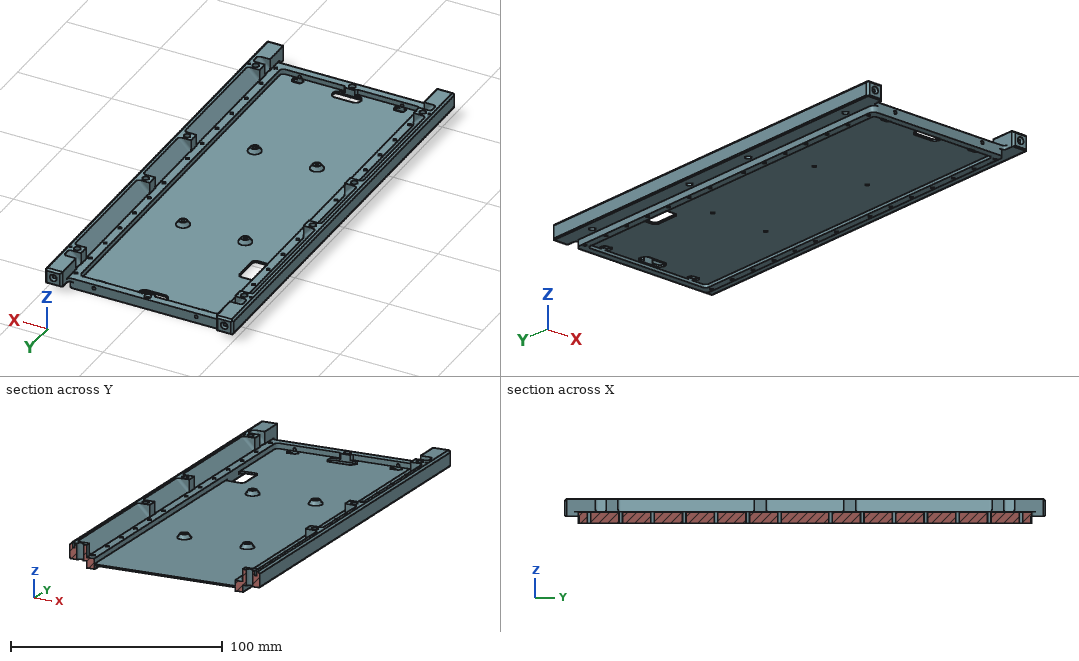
import cadquery as cq
import math

overall_width = 100.0
overall_length = 227.0
overall_height = 11.5

rail_width = 9.0
rail_height = 8.2
rail_top_chamfer = 1.02
rail_bottom_chamfer = 0.57
rail_end_chamfer = 1.02
rail_outer_x = overall_width / 2
rail_inner_x = rail_outer_x - rail_width
rail_bottom_z = overall_height - rail_height

tray_width = 82.2
tray_length = 214.0
tray_height = 5.5
tray_corner_radius = 3.0
web_fillet_radius = 1.5
wall = 4.0
floor_depth = 2.7
floor_thickness = 1.02
floor_corner_radius = 2.0
floor_z = tray_height - floor_depth
floor_end_y = tray_length / 2 - wall
floor_side_x = tray_width / 2 - wall

recess_top_x = 47.5
recess_end_fillet = 1.4
recess_outer_end_y = 99.0
pad_ys = (21.0, 91.0)
pad_width = 5.5
pad_hole_x = 44.5
pad_hole_diameter = 3.2
pin_hole_x = 48.0
pin_hole_diameter = 1.0
pin_hole_depth = 2.3

bore_diameter = 1.5
bore_sink_diameter = 3.6
bore_depth = 6.8

row_x = 39.5
row_diameter = 1.5
row_first_y = 12.0
row_pitch = 15.0
row_count = 7

end_slot_length = 15.0
end_slot_width = 6.0
end_slot_y = 98.7
end_slot_radius = 2.7
corner_slot_x = 27.2
corner_slot_length = 5.7
corner_slot_width = 4.0
corner_slot_radius = 1.5
window_width = 9.5
window_length = 16.1
window_y = 57.0
window_radius = 2.0

lug_width = 5.2
lug_flare = 1.0
lug_hole_y = 104.2
lug_hole_diameter = 1.5
lug_sink_diameter = 3.5

cross_hole_z = 3.5
cross_hole_diameter = 1.5

standoff_x = 16.5
standoff_y = 36.5
standoff_base_diameter = 6.8
standoff_top_diameter = 3.9
standoff_height = 2.0
standoff_hole_diameter = 1.8


def block(x_size, y_size, z_low, z_high):
    """Box centred on the Z axis between two heights."""
    box = cq.Workplane("XY").box(x_size, y_size, z_high - z_low, centered=(True, True, False))
    return box.translate((0, 0, z_low))


def rounded_cutter(x_size, y_size, radius, x, y):
    """Upright round-cornered cutter reaching from the underside of the part up to the tray top."""
    return block(x_size, y_size, 0, tray_height).edges("|Z").fillet(radius).translate((x, y, 0))


def upright_holes(points, diameter, z_low, z_high):
    """Vertical cylinders at the given places."""
    plane = cq.Workplane("XY").workplane(offset=z_low)
    return plane.pushPoints(points).circle(diameter / 2).extrude(z_high - z_low)


def countersunk_hole(mouth, inward, diameter, sink_diameter, depth):
    """Blind round hole with a 90 degree countersink at its mouth."""
    shaft = cq.Solid.makeCylinder(diameter / 2, depth, mouth, inward)
    sink = cq.Solid.makeCone(sink_diameter / 2, 0, sink_diameter / 2, mouth, inward)
    return cq.Workplane(shaft.fuse(sink))


def mirrored_points(x, y):
    """The four places that share one distance from both centre planes."""
    return [(side * x, end * y) for side in (-1, 1) for end in (-1, 1)]


def make_rail():
    """The +X rail, bevelled on its outer long edges and around both ends."""
    rail = block(rail_width, overall_length, rail_bottom_z, overall_height)
    rail = rail.faces("<Y or >Y").edges("|Z or >Z").chamfer(rail_end_chamfer)
    rail = rail.edges("|Y").edges(">X").edges(">Z").chamfer(rail_top_chamfer)
    rail = rail.edges("|Y").edges(">X").edges("<Z").chamfer(rail_bottom_chamfer)
    rail = rail.faces("<Y or >Y").edges("<Z").chamfer(rail_bottom_chamfer)
    rail = rail.translate((rail_inner_x + rail_width / 2, 0, 0))
    for low_y, high_y in recess_spans():
        rail = rail.cut(make_recess(low_y, high_y))
    bore_x = rail_outer_x - rail_width / 2
    bore_z = overall_height - rail_height / 2
    for end in (-1, 1):
        mouth = cq.Vector(bore_x, end * overall_length / 2, bore_z)
        inward = cq.Vector(0, -end, 0)
        rail = rail.cut(countersunk_hole(mouth, inward, bore_diameter, bore_sink_diameter, bore_depth))
    return rail


def recess_spans():
    """Start and end of every recess along Y; the pads are what is left between them."""
    centres = sorted([-y for y in pad_ys] + list(pad_ys))
    starts = [-recess_outer_end_y] + [y + pad_width / 2 for y in centres]
    ends = [y - pad_width / 2 for y in centres] + [recess_outer_end_y]
    return list(zip(starts, ends))


def make_recess(low_y, high_y):
    """Wedge whose 45 degree floor falls to the tray top and rounds up into both end walls."""
    depth = overall_height - tray_height
    outline = [
        (recess_top_x + depth, overall_height + depth),
        (recess_top_x - 2 * depth, tray_height - depth),
        (recess_top_x - 2 * depth, overall_height + depth),
    ]
    wedge = cq.Workplane("XZ").polyline(outline).close().extrude(low_y - high_y)
    wedge = wedge.translate((0, low_y, 0))
    slope = cq.selectors.DirectionMinMaxSelector(cq.Vector(1, 0, -1), True)
    wedge = wedge.faces(slope).edges("not |Y").fillet(recess_end_fillet)
    keep = block(overall_width, overall_length, tray_height, overall_height)
    return wedge.intersect(keep)


def make_tray():
    """Tray with a thin floor, hollow above and below, and webs that reach into the rails."""
    tray = block(tray_width, tray_length, 0, tray_height).edges("|Z").fillet(tray_corner_radius)
    web = block(2 * rail_inner_x + rail_width, tray_length, rail_bottom_z, tray_height)
    tray = tray.union(web)
    for low_z, high_z in ((floor_z, tray_height), (0, floor_z - floor_thickness)):
        hollow = block(2 * floor_side_x, 2 * floor_end_y, low_z, high_z)
        tray = tray.cut(hollow.edges("|Z").fillet(floor_corner_radius))
    return tray


def make_web_fillets():
    """Concave corner fillers between the tray ends and the rails."""
    corner = (rail_inner_x, tray_length / 2)
    diagonal = web_fillet_radius * (1 - math.sqrt(0.5))
    filler = (
        cq.Workplane("XY")
        .workplane(offset=rail_bottom_z)
        .moveTo(*corner)
        .lineTo(corner[0] - web_fillet_radius, corner[1])
        .threePointArc(
            (corner[0] - diagonal, corner[1] + diagonal),
            (corner[0], corner[1] + web_fillet_radius),
        )
        .close()
        .extrude(tray_height - rail_bottom_z)
    )
    pair = filler.union(filler.mirror("YZ"))
    return pair.union(pair.mirror("XZ"))


def make_lug():
    """Flared lug on the inner side of the +Y end wall, reaching the end slot."""
    tip_y = end_slot_y + end_slot_width / 2
    half = lug_width / 2
    outline = [
        (-half - lug_flare, floor_end_y),
        (-half, floor_end_y - lug_flare),
        (-half, tip_y),
        (half, tip_y),
        (half, floor_end_y - lug_flare),
        (half + lug_flare, floor_end_y),
    ]
    plane = cq.Workplane("XY").workplane(offset=floor_z)
    return plane.polyline(outline).close().extrude(tray_height - floor_z)


def make_standoffs():
    """Four truncated cones standing on the floor."""
    plane = cq.Workplane("XY").workplane(offset=floor_z)
    places = plane.pushPoints(mirrored_points(standoff_x, standoff_y))
    inset = (standoff_base_diameter - standoff_top_diameter) / 2
    taper = math.degrees(math.atan2(inset, standoff_height))
    return places.circle(standoff_base_diameter / 2).extrude(standoff_height, taper=taper)


rail = make_rail()
lug = make_lug()
result = make_tray().union(make_web_fillets()).union(rail).union(rail.mirror("YZ"))
result = result.union(lug).union(lug.mirror("XZ")).union(make_standoffs())

for end in (-1, 1):
    result = result.cut(
        rounded_cutter(end_slot_length, end_slot_width, end_slot_radius, 0, end * end_slot_y)
    )
corner_slot_y = floor_end_y - corner_slot_width / 2
for x, y in mirrored_points(corner_slot_x, corner_slot_y):
    result = result.cut(rounded_cutter(corner_slot_length, corner_slot_width, corner_slot_radius, x, y))
window_x = -floor_side_x + window_width / 2
result = result.cut(rounded_cutter(window_width, window_length, window_radius, window_x, window_y))

row_points = []
for step in range(row_count):
    row_points += mirrored_points(row_x, row_first_y + step * row_pitch)
pad_points = [point for y in pad_ys for point in mirrored_points(pad_hole_x, y)]
result = result.cut(upright_holes(row_points, row_diameter, 0, tray_height))
result = result.cut(upright_holes(pad_points, pad_hole_diameter, 0, overall_height))
pin_points = mirrored_points(pin_hole_x, pad_ys[-1])
result = result.cut(
    upright_holes(pin_points, pin_hole_diameter, overall_height - pin_hole_depth, overall_height)
)
standoff_points = mirrored_points(standoff_x, standoff_y)
result = result.cut(upright_holes(standoff_points, standoff_hole_diameter, 0, overall_height))

for end in (-1, 1):
    mouth = cq.Vector(0, end * lug_hole_y, tray_height)
    down = cq.Vector(0, 0, -1)
    result = result.cut(countersunk_hole(mouth, down, lug_hole_diameter, lug_sink_diameter, floor_depth))

cross_holes = (
    cq.Workplane("XZ", origin=(0, -floor_end_y, 0))
    .pushPoints([(-corner_slot_x, cross_hole_z), (corner_slot_x, cross_hole_z)])
    .circle(cross_hole_diameter / 2)
    .extrude(wall)
)
result = result.cut(cross_holes).cut(cross_holes.mirror("XZ"))